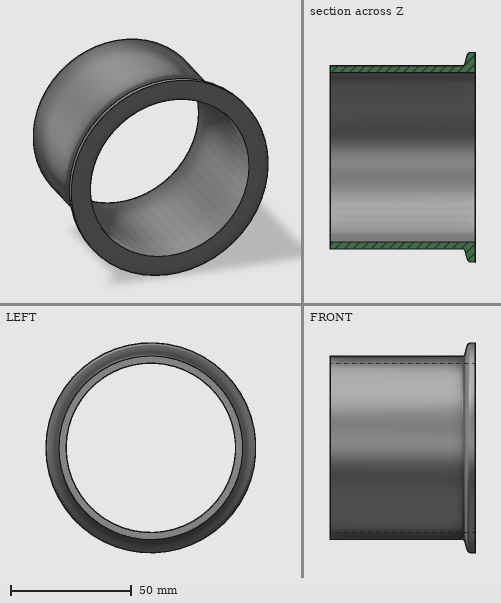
import cadquery as cq
import math

length = 60.0
flange_diameter = 87.0
tube_diameter = 76.0
bore_diameter = 70.0

rim_width = 1.7
shoulder_radius = 1.7
back_angle = math.radians(15)
root_radius = 1.0

flange_radius = flange_diameter / 2
tube_radius = tube_diameter / 2
bore_radius = bore_diameter / 2


def arc_point(center, radius, angle):
    """Point on a circle in the profile plane, with the angle taken from +X."""
    return (center[0] + radius * math.cos(angle), center[1] + radius * math.sin(angle))


back_normal = math.pi - back_angle
shoulder_center = (length - rim_width, flange_radius - shoulder_radius)
shoulder_end = arc_point(shoulder_center, shoulder_radius, back_normal)
shoulder_mid = arc_point(shoulder_center, shoulder_radius, (back_normal + math.pi / 2) / 2)

root_center_y = tube_radius + root_radius
root_end_y = root_center_y - root_radius * math.sin(back_angle)
root_end_x = shoulder_end[0] - (shoulder_end[1] - root_end_y) * math.tan(back_angle)
root_center = (root_end_x - root_radius * math.cos(back_angle), root_center_y)
root_mid = arc_point(root_center, root_radius, -(back_angle + math.pi / 2) / 2)

profile = (
    cq.Workplane("XY")
    .moveTo(0, bore_radius)
    .lineTo(0, tube_radius)
    .lineTo(root_center[0], tube_radius)
    .threePointArc(root_mid, (root_end_x, root_end_y))
    .lineTo(*shoulder_end)
    .threePointArc(shoulder_mid, (shoulder_center[0], flange_radius))
    .lineTo(length, flange_radius)
    .lineTo(length, bore_radius)
    .close()
)

result = profile.revolve(360, (0, 0, 0), (1, 0, 0))